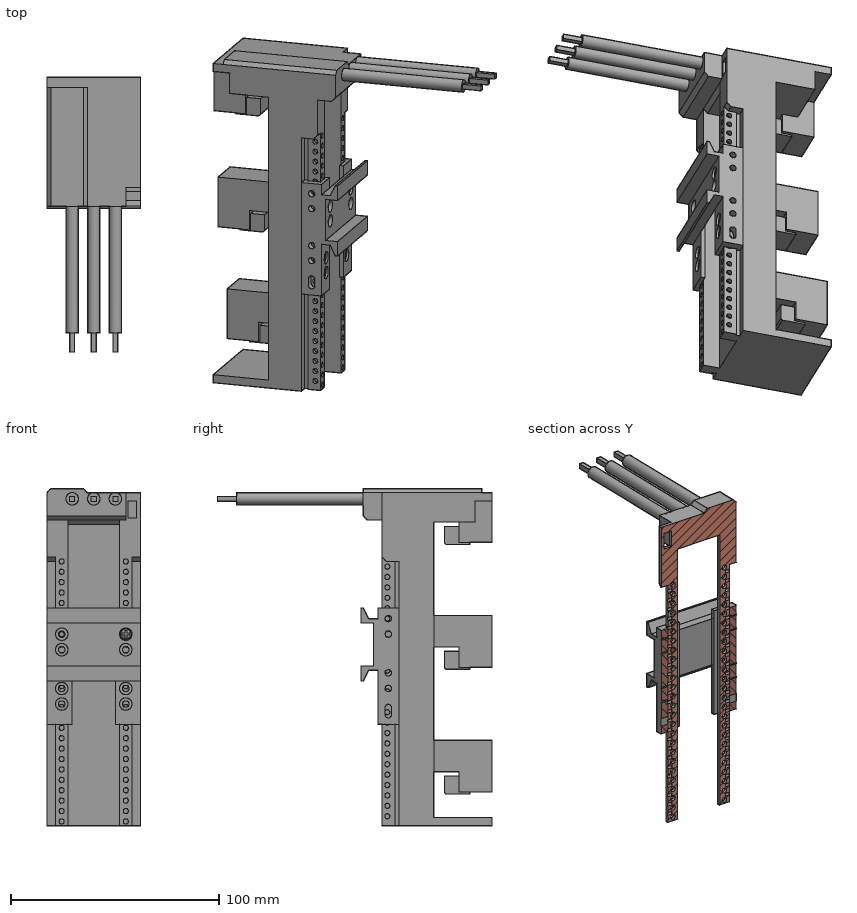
import cadquery as cq


CUT_MARGIN = 1.6

WIDTH = 45.0
HEIGHT = 162.0
COLUMN_BACK_Y = -28.0
COLUMN_FRONT_Y = -53.0
FOOT_THICKNESS = 4.0
HEAD_TOP_Z = 160.0
HEAD_BOTTOM_Z = 145.8
HEAD_BACK_STEP_Y = -8.3
HEAD_BACK_STEP_Z = 156.0
EDGE_CHAMFER = 2.1

LIP_WIDTH = 38.0
LIP_FRONT_Y = -62.0
LIP_BOTTOM_Z = 146.8

CAP_WIDTH = 19.5
CAP_BACK_Y = -5.0
CAP_HEIGHT = HEIGHT - HEAD_TOP_Z

WINDOW_WIDTH = 4.2
WINDOW_HEIGHT = 8.1
WINDOW_DEPTH = 2.0
WINDOW_CENTER_X = 41.0
WINDOW_CENTER_Z = 152.0

RAIL_FLOOR_Y = -44.7
RAIL_BACK_Y = -46.7
RAIL_OUTER_X = 4.0
RAIL_NECK_X = 5.0
RAIL_INNER_X = 10.0
CHANNEL_TOP_Z = LIP_BOTTOM_Z - EDGE_CHAMFER
REBATE_TOP_Z = 127.0

RAIL_HOLE_DIAMETER = 2.5
RAIL_HOLE_DEPTH = 2.5
FRONT_HOLE_X = 7.1
SIDE_HOLE_Y = -50.4
FRONT_HOLE_COUNT = 26
SIDE_HOLE_COUNT = FRONT_HOLE_COUNT - 1
FIRST_HOLE_Z = 2.1
LAST_HOLE_Z = 127.0
HOLE_PITCH = (LAST_HOLE_Z - FIRST_HOLE_Z) / (FRONT_HOLE_COUNT - 1)

HOOK_LEFT_X = [20.9, 7.1, 1.0]
HOOK_WIDTH = 18.3
HOOK_HEIGHT = 25.0
HOOK_FRONT_Y = -16.0
HOOK_JAW_HEIGHT = 9.7
HOOK_FIRST_Z = 16.2
HOOK_PITCH = 60.0
TONGUE_INSET = 1.6
TONGUE_BACK_Y = -10.7
TONGUE_FRONT_Y = -23.0
TONGUE_DROP = 1.0
TONGUE_RISE = 7.8
TONGUE_CHAMFER = 0.8

CARRIER_BOTTOM_Z = 48.8
CARRIER_TOP_Z = 104.7
LEG_WIDTH = 12.2
LEG_FRONT_Y = -54.9
BRIDGE_BOTTOM_Z = 74.7
BRIDGE_TOP_Z = 99.5
BRIDGE_FRONT_Y = -57.0
JAW_TIP_Y = -63.0
JAW_THICKNESS = 2.1
JAW_TIP_RISE = 5.2
JAW_TIP_WIDTH = 1.1
JAW_ROOT_WIDTH = 3.7

CARRIER_HOLE_DIAMETER = 3.0
COUNTERBORE_DIAMETER = 6.0
LEG_COUNTERBORE_FLOOR_Y = -53.8
BRIDGE_COUNTERBORE_FLOOR_Y = LEG_FRONT_Y
HOLE_PAIR_PITCH = 7.5
HOLE_PAIR_SPACING = 26.1
SCREWED_HOLE_INDEX = 18
SLOT_LENGTH = 6.5
SLOT_CENTER_Z = 55.0
SIDE_HOLE_CENTER_Y = -49.9

WIRE_DIAMETER = 6.0
WIRE_PITCH = 10.4
WIRE_END_Y = -122.8
WIRE_Z = HEAD_TOP_Z - WIRE_DIAMETER / 2
CONDUCTOR_SIDE = 2.5
CONDUCTOR_END_Y = -132.0

SCREW_HEAD_DIAMETER = 5.0
SCREW_HEAD_RIM = 1.0
SCREW_HEAD_HEIGHT = 2.0
SCREW_DOME_MID_RADIUS = 1.3
SCREW_DOME_MID_HEIGHT = 1.6
CROSS_LENGTH = 3.7
CROSS_WIDTH = 1.0
CROSS_DEPTH = 1.5


def block(x_range, y_range, z_range):
    """Axis-aligned box spanning the three ranges."""
    size = [abs(end - start) for start, end in (x_range, y_range, z_range)]
    corner = tuple(min(span) for span in (x_range, y_range, z_range))
    return cq.Workplane("XY").box(*size, centered=False).translate(corner)


def side_profile(points, left_x, right_x):
    """Extrude a closed outline of (Y, Z) points from left_x to right_x."""
    return cq.Workplane("YZ", origin=(left_x, 0, 0)).polyline(points).close().extrude(right_x - left_x)


def cylinder_along_y(x, z, start_y, end_y, diameter):
    """Cylinder running forward (towards -Y) from start_y to end_y."""
    return cq.Workplane("XZ", origin=(x, start_y, z)).circle(diameter / 2).extrude(start_y - end_y)


def mirrored(solid):
    """The same shape on the other side of the housing's mid-width plane."""
    return solid.mirror("YZ", (WIDTH / 2, 0, 0))


def front_hole_z(index):
    """Height of a rail's front hole, counted from the lowest one."""
    return FIRST_HOLE_Z + index * HOLE_PITCH


def side_hole_z(index):
    """Side holes sit midway between the front holes."""
    return front_hole_z(index + 0.5)



def housing_column():
    """Foot, column and head in one outline over the full width."""
    return side_profile(
        [
            (0, 0),
            (0, FOOT_THICKNESS),
            (COLUMN_BACK_Y, FOOT_THICKNESS),
            (COLUMN_BACK_Y, HEAD_BOTTOM_Z),
            (HEAD_BACK_STEP_Y, HEAD_BOTTOM_Z),
            (HEAD_BACK_STEP_Y, HEAD_BACK_STEP_Z),
            (0, HEAD_BACK_STEP_Z),
            (0, HEAD_TOP_Z),
            (COLUMN_FRONT_Y, HEAD_TOP_Z),
            (COLUMN_FRONT_Y, 0),
        ],
        0,
        WIDTH,
    )


def head_lip():
    """Front overhang that the wires leave from, chamfered below."""
    return side_profile(
        [
            (COLUMN_FRONT_Y, HEAD_TOP_Z),
            (COLUMN_FRONT_Y, LIP_BOTTOM_Z),
            (LIP_FRONT_Y + EDGE_CHAMFER, LIP_BOTTOM_Z),
            (LIP_FRONT_Y, LIP_BOTTOM_Z + EDGE_CHAMFER),
            (LIP_FRONT_Y, HEAD_TOP_Z),
        ],
        0,
        LIP_WIDTH,
    )


def head_cap():
    """Raised strip with sloping long sides."""
    return (
        cq.Workplane("XZ", origin=(0, CAP_BACK_Y, HEAD_TOP_Z))
        .polyline([
            (0, 0),
            (CAP_WIDTH, 0),
            (CAP_WIDTH - CAP_HEIGHT, CAP_HEIGHT),
            (CAP_HEIGHT, CAP_HEIGHT),
        ])
        .close()
        .extrude(CAP_BACK_Y - LIP_FRONT_Y)
    )


def front_trench(left_x, right_x, top_z):
    """Cutter from the foot up to top_z, its top edge chamfered at the column front."""
    return side_profile(
        [
            (RAIL_FLOOR_Y, -CUT_MARGIN),
            (RAIL_FLOOR_Y, top_z),
            (COLUMN_FRONT_Y + EDGE_CHAMFER, top_z),
            (COLUMN_FRONT_Y, top_z + EDGE_CHAMFER),
            (COLUMN_FRONT_Y, -CUT_MARGIN),
        ],
        left_x,
        right_x,
    )


def side_rebate():
    """Rebate outside the left rail, with the groove that undercuts the rail."""
    rebate = front_trench(-CUT_MARGIN, RAIL_OUTER_X, REBATE_TOP_Z)
    groove = block((0, RAIL_NECK_X), (RAIL_FLOOR_Y, RAIL_BACK_Y), (-CUT_MARGIN, REBATE_TOP_Z))
    return rebate.union(groove)


def rail_holes():
    """Blind holes in the front and outer side of the left rail."""
    front = (
        cq.Workplane("XZ", origin=(FRONT_HOLE_X, COLUMN_FRONT_Y, 0))
        .pushPoints([(0, front_hole_z(i)) for i in range(FRONT_HOLE_COUNT)])
        .circle(RAIL_HOLE_DIAMETER / 2)
        .extrude(-RAIL_HOLE_DEPTH)
    )
    side = (
        cq.Workplane("YZ", origin=(RAIL_OUTER_X, 0, 0))
        .pushPoints([(SIDE_HOLE_Y, side_hole_z(i)) for i in range(SIDE_HOLE_COUNT)])
        .circle(RAIL_HOLE_DIAMETER / 2)
        .extrude(RAIL_HOLE_DEPTH)
    )
    return [front, side]


def busbar_hook(left_x, bottom_z):
    """Downward hook behind the column with a contact tongue in its mouth."""
    right_x = left_x + HOOK_WIDTH
    jaw_top_z = bottom_z + HOOK_JAW_HEIGHT
    top_z = min(bottom_z + HOOK_HEIGHT, HEAD_BACK_STEP_Z)
    hook = side_profile(
        [
            (0, bottom_z),
            (0, top_z),
            (COLUMN_BACK_Y, top_z),
            (COLUMN_BACK_Y, jaw_top_z),
            (HOOK_FRONT_Y, jaw_top_z),
            (HOOK_FRONT_Y, bottom_z),
        ],
        left_x,
        right_x,
    )
    tongue_bottom_z = bottom_z - TONGUE_DROP
    tongue_top_z = bottom_z + TONGUE_RISE
    tongue = (
        block(
            (left_x + TONGUE_INSET, right_x - TONGUE_INSET),
            (TONGUE_BACK_Y, TONGUE_FRONT_Y),
            (tongue_bottom_z, tongue_top_z),
        )
        .faces("<Z")
        .edges("<Y")
        .chamfer(TONGUE_CHAMFER)
    )
    return hook.union(tongue)


def lip_window():
    """Shallow rectangular recess in the column front beside the lip."""
    return (
        cq.Workplane("XZ", origin=(WINDOW_CENTER_X, COLUMN_FRONT_Y, WINDOW_CENTER_Z))
        .rect(WINDOW_WIDTH, WINDOW_HEIGHT)
        .extrude(-WINDOW_DEPTH)
    )


def make_housing():
    body = housing_column()
    body = body.cut(front_trench(RAIL_INNER_X, WIDTH - RAIL_INNER_X, CHANNEL_TOP_Z))
    for cutter in [side_rebate()] + rail_holes():
        body = body.cut(cutter).cut(mirrored(cutter))
    body = body.cut(lip_window())
    body = body.union(head_lip()).union(head_cap())
    for index, left_x in enumerate(HOOK_LEFT_X):
        body = body.union(busbar_hook(left_x, HOOK_FIRST_Z + index * HOOK_PITCH))
    return body



def carrier_leg():
    """Left leg: a front plate with a side cheek that clips behind the rail."""
    z_range = (CARRIER_BOTTOM_Z, CARRIER_TOP_Z)
    plate = block((0, LEG_WIDTH), (COLUMN_FRONT_Y, LEG_FRONT_Y), z_range)
    cheek = block((0, RAIL_OUTER_X), (RAIL_FLOOR_Y, COLUMN_FRONT_Y), z_range)
    clip = block((RAIL_OUTER_X, RAIL_NECK_X), (RAIL_FLOOR_Y, RAIL_BACK_Y), z_range)
    return plate.union(cheek).union(clip)


def mounting_jaw(root_z, direction):
    """Full-width jaw at an edge of the bridge; direction is +1 for up, -1 for down."""
    inner_z = root_z - direction * JAW_THICKNESS
    tip_z = root_z + direction * JAW_TIP_RISE
    return side_profile(
        [
            (LEG_FRONT_Y, inner_z),
            (LEG_FRONT_Y, root_z),
            (JAW_TIP_Y + JAW_ROOT_WIDTH, root_z),
            (JAW_TIP_Y + JAW_TIP_WIDTH, tip_z),
            (JAW_TIP_Y, tip_z),
            (JAW_TIP_Y, inner_z),
        ],
        0,
        WIDTH,
    )


def hole_pair(top_z):
    """Heights of two neighbouring holes, the upper one at top_z."""
    return [top_z, top_z - HOLE_PAIR_PITCH]


def counterbored_hole(z, floor_y):
    """Cutters for a through hole in the left leg and for its counterbore."""
    return [
        cylinder_along_y(FRONT_HOLE_X, z, COLUMN_FRONT_Y, BRIDGE_FRONT_Y, CARRIER_HOLE_DIAMETER),
        cylinder_along_y(FRONT_HOLE_X, z, floor_y, BRIDGE_FRONT_Y, COUNTERBORE_DIAMETER),
    ]


def carrier_front_holes():
    """A pair of counterbored holes through the bridge and a pair through the bare leg."""
    top_z = front_hole_z(SCREWED_HOLE_INDEX)
    cutters = []
    for z in hole_pair(top_z):
        cutters += counterbored_hole(z, BRIDGE_COUNTERBORE_FLOOR_Y)
    for z in hole_pair(top_z - HOLE_PAIR_SPACING):
        cutters += counterbored_hole(z, LEG_COUNTERBORE_FLOOR_Y)
    return cutters


def carrier_side_holes():
    """Round holes and one slot through the left cheek."""
    top_z = side_hole_z(SCREWED_HOLE_INDEX + 1)
    levels = hole_pair(top_z) + hole_pair(top_z - HOLE_PAIR_SPACING)
    cheek_face = cq.Workplane("YZ")
    holes = (
        cheek_face.pushPoints([(SIDE_HOLE_CENTER_Y, z) for z in levels])
        .circle(CARRIER_HOLE_DIAMETER / 2)
        .extrude(RAIL_OUTER_X)
    )
    slot = (
        cheek_face.center(SIDE_HOLE_CENTER_Y, SLOT_CENTER_Z)
        .slot2D(SLOT_LENGTH, CARRIER_HOLE_DIAMETER, 90)
        .extrude(RAIL_OUTER_X)
    )
    return [holes, slot]


def make_carrier():
    bridge = block((0, WIDTH), (LEG_FRONT_Y, BRIDGE_FRONT_Y), (BRIDGE_BOTTOM_Z, BRIDGE_TOP_Z))
    leg = carrier_leg()
    body = bridge.union(leg).union(mirrored(leg))
    body = body.union(mounting_jaw(BRIDGE_TOP_Z, 1)).union(mounting_jaw(BRIDGE_BOTTOM_Z, -1))
    for cutter in carrier_front_holes() + carrier_side_holes():
        body = body.cut(cutter).cut(mirrored(cutter))
    return body



def make_wire(x):
    """Round insulated wire with a square bare conductor at its free end."""
    insulation = cylinder_along_y(x, WIRE_Z, LIP_FRONT_Y, WIRE_END_Y, WIRE_DIAMETER)
    conductor = (
        cq.Workplane("XZ", origin=(x, WIRE_END_Y, WIRE_Z))
        .rect(CONDUCTOR_SIDE, CONDUCTOR_SIDE)
        .extrude(WIRE_END_Y - CONDUCTOR_END_Y)
    )
    return insulation.union(conductor)


def make_screw(x, z):
    """Domed cross-head screw seated in a bridge counterbore and reaching into the rail."""
    seat_y = BRIDGE_COUNTERBORE_FLOOR_Y
    head_top_y = seat_y - SCREW_HEAD_HEIGHT
    head_radius = SCREW_HEAD_DIAMETER / 2
    head = (
        cq.Workplane("XY", origin=(x, 0, z))
        .moveTo(0, seat_y)
        .lineTo(head_radius, seat_y)
        .lineTo(head_radius, seat_y - SCREW_HEAD_RIM)
        .threePointArc((SCREW_DOME_MID_RADIUS, seat_y - SCREW_DOME_MID_HEIGHT), (0, head_top_y))
        .close()
        .revolve(360, (0, 0), (0, 1))
    )
    shank = cylinder_along_y(x, z, COLUMN_FRONT_Y + RAIL_HOLE_DEPTH, seat_y, RAIL_HOLE_DIAMETER)
    screw_body = head.union(shank)
    for arm_size in ((CROSS_LENGTH, CROSS_WIDTH), (CROSS_WIDTH, CROSS_LENGTH)):
        slot = cq.Workplane("XZ", origin=(x, head_top_y, z)).rect(*arm_size).extrude(-CROSS_DEPTH)
        screw_body = screw_body.cut(slot)
    return screw_body


housing = make_housing()
carrier = make_carrier()
wires = [make_wire(WIDTH / 2 + offset * WIRE_PITCH) for offset in (-1, 0, 1)]
screw = make_screw(WIDTH - FRONT_HOLE_X, front_hole_z(SCREWED_HOLE_INDEX))

result = cq.Compound.makeCompound([
    housing.solids().val(),
    carrier.solids().val(),
    *[wire.solids().val() for wire in wires],
    screw.solids().val(),
])